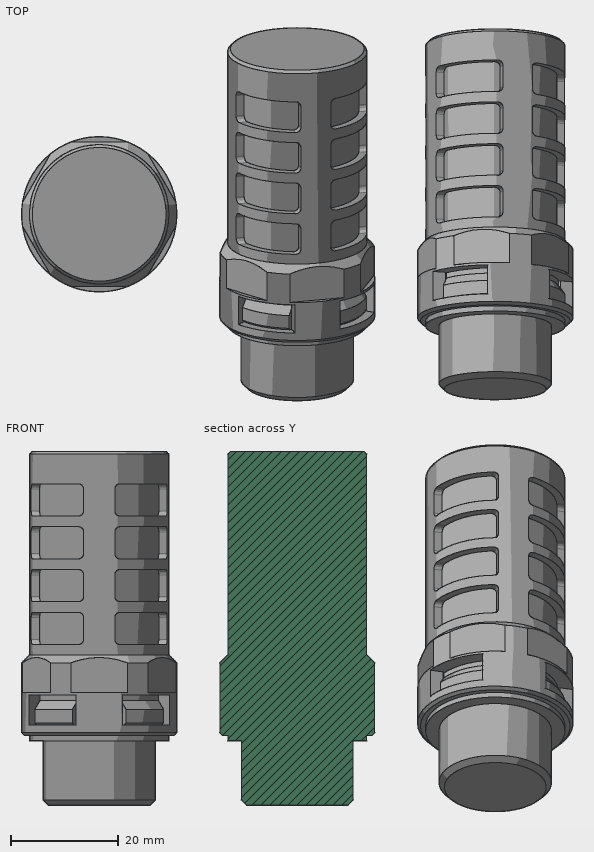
import cadquery as cq
import math

total_height = 66.0
body_diameter = 26.0
nut_diameter = 29.0
clearance = 3.3

stud_diameter = 21.0
stud_chamfer = 1.0
flange_bottom = 12.0

nut_bottom = 13.0
nut_edge_chamfer = 0.5
hex_bottom = 21.0
hex_across_flats = 27.0
nut_top = 28.05
nut_top_chamfer = (nut_diameter - body_diameter) / 2

pocket_bottom = 15.0
pocket_top = 20.5
lip_radius = 13.0
lip_half_width = 4.95
lip_undercut = 0.4
lip_shoulder = 17.9
lip_neck_bottom = 19.55
lip_neck_radius = 11.75
pocket_wall_x = 4.35

top_chamfer = 0.5
window_height = 6.0
window_pitch = 8.0
window_rows = 4
window_top_margin = 6.1
window_corner = 1.0
pillar_half_width = 2.9
core_radius = 11.5

body_radius = body_diameter / 2
nut_radius = nut_diameter / 2
stud_radius = stud_diameter / 2
cutter_reach = nut_radius + clearance


def solid_of_revolution():
    """Stud, flange, nut blank and silencer body turned about Z."""
    profile = [
        (0, 0),
        (stud_radius - stud_chamfer, 0),
        (stud_radius, stud_chamfer),
        (stud_radius, flange_bottom),
        (body_radius, flange_bottom),
        (body_radius, nut_bottom),
        (nut_radius - nut_edge_chamfer, nut_bottom),
        (nut_radius, nut_bottom + nut_edge_chamfer),
        (nut_radius, nut_top - nut_top_chamfer),
        (body_radius, nut_top),
        (body_radius, total_height - top_chamfer),
        (body_radius - top_chamfer, total_height),
        (0, total_height),
    ]
    return cq.Workplane("XZ").polyline(profile).close().revolve(360, (0, 0), (0, 1))


def hex_flats_cutter():
    """Ring with a hexagonal hole, two of its flats facing +Y and -Y."""
    across_corners = hex_across_flats / math.cos(math.radians(30))
    return (
        cq.Workplane("XY", origin=(0, 0, hex_bottom))
        .circle(cutter_reach)
        .polygon(6, across_corners)
        .extrude(nut_top - hex_bottom)
    )


def in_all_quadrants(cutter):
    """Repeat a cutter from the -X -Y quadrant by mirroring across X and Y."""
    half = cutter.union(cutter.mirror("YZ"))
    return half.union(half.mirror("XZ"))


def window(top):
    """Rounded opening between two pillars, from the outside down to the core."""
    center = -pillar_half_width - cutter_reach / 2
    middle = top - window_height / 2

    def rounded_bar(plane, edges):
        return (
            cq.Workplane(plane, origin=(center, center, middle))
            .rect(cutter_reach, window_height)
            .extrude(cutter_reach, both=True)
            .edges(edges)
            .fillet(window_corner)
        )

    opening = rounded_bar("XZ", "|Y").intersect(rounded_bar("YZ", "|X"))
    core = cq.Workplane("XY").circle(core_radius).extrude(total_height)
    return opening.cut(core)


def lip():
    """Hooked lip left standing in a pocket, with flat sides along the diagonal."""
    profile = [
        (0, pocket_bottom),
        (lip_radius - lip_undercut, pocket_bottom),
        (lip_radius, pocket_bottom + lip_undercut),
        (lip_radius, lip_shoulder),
        (lip_neck_radius, lip_neck_bottom),
        (lip_neck_radius, pocket_top),
        (0, pocket_top),
    ]
    turned = cq.Workplane("XZ").polyline(profile).close().revolve(360, (0, 0), (0, 1))
    slab = (
        cq.Workplane("XY")
        .rect(2 * cutter_reach, 2 * lip_half_width)
        .extrude(total_height)
        .rotate((0, 0, 0), (0, 0, 1), 45)
    )
    return turned.intersect(slab)


def pocket():
    """Diagonal slot, widened on one side up to a wall square to X."""
    diagonal_offset = lip_half_width * math.sqrt(2)
    outline = [
        (-pocket_wall_x, -cutter_reach),
        (-pocket_wall_x, -pocket_wall_x - diagonal_offset),
        (0, -diagonal_offset),
        (-diagonal_offset, 0),
        (-cutter_reach, -cutter_reach + diagonal_offset),
        (-cutter_reach, -cutter_reach),
    ]
    opening = (
        cq.Workplane("XY", origin=(0, 0, pocket_bottom))
        .polyline(outline)
        .close()
        .extrude(pocket_top - pocket_bottom)
    )
    return opening.cut(lip())


result = solid_of_revolution().cut(hex_flats_cutter())
result = result.cut(in_all_quadrants(pocket()))
for row in range(window_rows):
    row_top = total_height - window_top_margin - row * window_pitch
    result = result.cut(in_all_quadrants(window(row_top)))